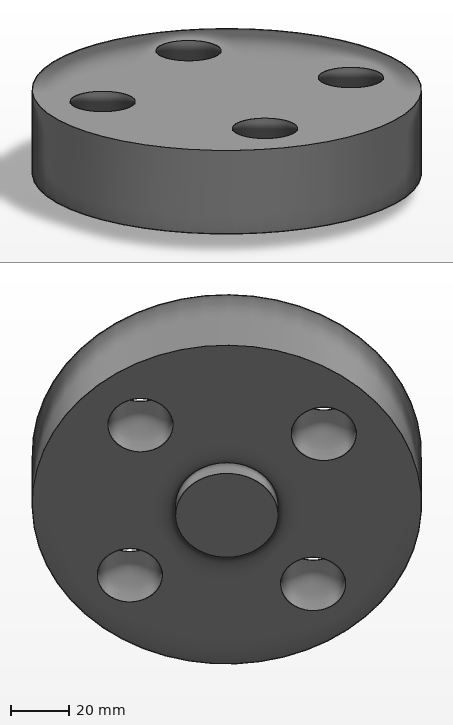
import cadquery as cq

flange_diameter = 133.3
flange_thickness = 30.1

boss_diameter = 35.0
overall_height = 36.5
boss_height = overall_height - flange_thickness

bolt_hole_count = 4
bolt_hole_diameter = 22.3
bolt_circle_diameter = 88.9


def make_flange():
    """Disc with its underside on Z = 0."""
    return cq.Workplane("XY").circle(flange_diameter / 2).extrude(flange_thickness)


def make_boss():
    """Cylinder hanging below the disc."""
    return cq.Workplane("XY").circle(boss_diameter / 2).extrude(-boss_height)


def make_bolt_holes():
    """Cylinders that pass through the full disc thickness."""
    return (
        cq.Workplane("XY")
        .polarArray(bolt_circle_diameter / 2, 0, 360, bolt_hole_count)
        .circle(bolt_hole_diameter / 2)
        .extrude(flange_thickness)
    )


result = make_flange().union(make_boss()).cut(make_bolt_holes())